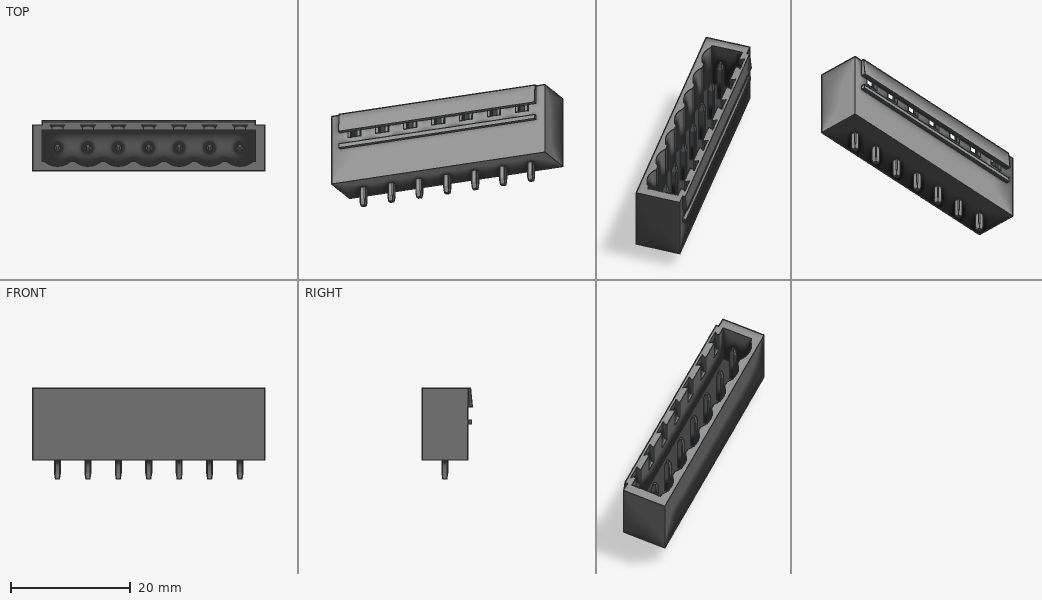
import cadquery as cq

LENGTH = 38.75
DEPTH = 7.65
HEIGHT = 12.0
END_WALL = 1.6
BACK_WALL = 0.8
SCALLOP_WALL = 0.75
FRONT_WALL = 1.55
FLOOR = 3.1

CONTACTS = 7
PITCH = 5.08

SCALLOP_CHORD = 4.25

SLOT_NECK_WIDTH = 1.82
SLOT_MOUTH_WIDTH = 2.4
SLOT_NECK_DEPTH = 0.35
SLOT_HEIGHT = 4.2

LATCH_TOP_DEPTH = 0.45
LATCH_BOTTOM_DEPTH = 0.78
LATCH_HEIGHT = 3.15
RIB_DEPTH = 0.62
RIB_HEIGHT = 0.7
RIB_DROP = 5.3

PIN_SETBACK = 3.8
PIN_WIDTH = 1.0
PIN_CHAMFER = 0.15
PIN_TAIL = 3.18
PIN_TOP = 11.05
TAIL_TIP_LENGTH = 1.05
TAIL_TIP_WIDTH = 0.65
HEAD_TIP_LENGTH = 1.3
HEAD_TIP_WIDTH = 0.4

cavity_length = LENGTH - 2 * END_WALL
cavity_back = DEPTH - BACK_WALL
cavity_depth = HEIGHT - FLOOR
pin_x = [(i - (CONTACTS - 1) / 2) * PITCH for i in range(CONTACTS)]


def make_cavity():
    """Open-topped pocket with one scallop in its front side per contact."""
    half = cavity_length / 2
    outline = cq.Workplane("XY", origin=(0, 0, FLOOR)).moveTo(-half, cavity_back).lineTo(-half, FRONT_WALL)
    for x in pin_x:
        outline = outline.lineTo(x - SCALLOP_CHORD / 2, FRONT_WALL)
        outline = outline.threePointArc((x, SCALLOP_WALL), (x + SCALLOP_CHORD / 2, FRONT_WALL))
    return outline.lineTo(half, FRONT_WALL).lineTo(half, cavity_back).close().extrude(cavity_depth)


def make_slot(x):
    """Slot through the back wall: a straight neck that flares to a wide mouth."""
    neck = SLOT_NECK_WIDTH / 2
    mouth = SLOT_MOUTH_WIDTH / 2
    flare_start = cavity_back + SLOT_NECK_DEPTH
    outline = [
        (x - neck, cavity_back),
        (x + neck, cavity_back),
        (x + neck, flare_start),
        (x + mouth, DEPTH),
        (x - mouth, DEPTH),
        (x - neck, flare_start),
    ]
    return cq.Workplane("XY", origin=(0, 0, HEIGHT - SLOT_HEIGHT)).polyline(outline).close().extrude(SLOT_HEIGHT)


def make_latch_strip():
    """Wedge-shaped strip along the top of the back face, closing the slots above the windows."""
    profile = [
        (DEPTH, HEIGHT),
        (DEPTH + LATCH_TOP_DEPTH, HEIGHT),
        (DEPTH + LATCH_BOTTOM_DEPTH, HEIGHT - LATCH_HEIGHT),
        (DEPTH, HEIGHT - LATCH_HEIGHT),
    ]
    return cq.Workplane("YZ").polyline(profile).close().extrude(cavity_length / 2, both=True)


def make_rib():
    """Plain rib along the back face, below the latch strip."""
    top = HEIGHT - RIB_DROP
    return (
        cq.Workplane("XY", origin=(0, DEPTH + RIB_DEPTH / 2, top - RIB_HEIGHT))
        .rect(cavity_length, RIB_DEPTH)
        .extrude(RIB_HEIGHT)
    )


def make_pin_shaft(x, bottom, top):
    """Square shaft with chamfered long edges."""
    return (
        cq.Workplane("XY", origin=(x, PIN_SETBACK, bottom))
        .rect(PIN_WIDTH, PIN_WIDTH)
        .extrude(top - bottom)
        .edges("|Z")
        .chamfer(PIN_CHAMFER)
    )


def make_pin_tip(x, base, end, end_width):
    """Square pyramid frustum that narrows from the flats of the shaft to the end of the pin."""
    return (
        cq.Workplane("XY", origin=(x, PIN_SETBACK, base))
        .rect(PIN_WIDTH, PIN_WIDTH)
        .workplane(offset=end - base)
        .rect(end_width, end_width)
        .loft(combine=True)
    )


def make_pin(x):
    """Straight contact with a tapered tip at both ends."""
    whole_shaft = make_pin_shaft(x, -PIN_TAIL, PIN_TOP)
    tail_base = TAIL_TIP_LENGTH - PIN_TAIL
    head_base = PIN_TOP - HEAD_TIP_LENGTH
    tail_tip = make_pin_tip(x, tail_base, -PIN_TAIL, TAIL_TIP_WIDTH)
    head_tip = make_pin_tip(x, head_base, PIN_TOP, HEAD_TIP_WIDTH)
    shaft = make_pin_shaft(x, tail_base, head_base)
    return shaft.union(tail_tip.union(head_tip).intersect(whole_shaft))


def make_housing():
    """Block with the cavity, slots, latch strip, rib and a hole for each pin."""
    body = cq.Workplane("XY").box(LENGTH, DEPTH, HEIGHT, centered=(True, False, False))
    body = body.cut(make_cavity())
    for x in pin_x:
        body = body.cut(make_slot(x))
        body = body.cut(make_pin_shaft(x, 0, FLOOR))
    return body.union(make_latch_strip()).union(make_rib())


housing = make_housing()
pins = [make_pin(x) for x in pin_x]

result = cq.Compound.makeCompound([housing.val(), *[pin.val() for pin in pins]])